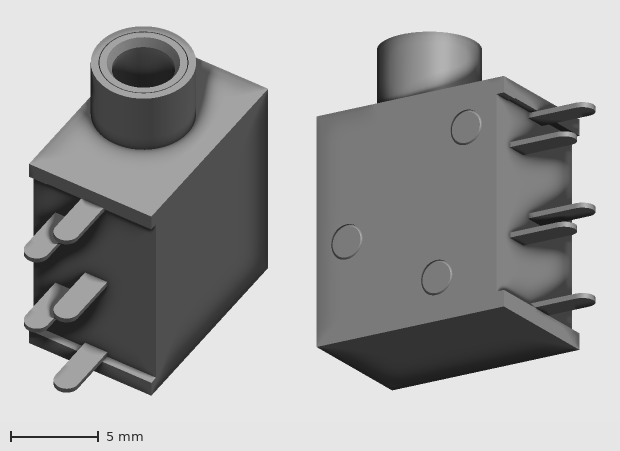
import cadquery as cq


TOTAL_HEIGHT = 18.0
OVERALL_DEPTH = 15.9

WIDTH = 8.2
DEPTH = 12.5
HEIGHT = 14.0
AXIS_FROM_LEFT = 3.3
AXIS_FROM_BACK = 5.5
LEFT_X = -AXIS_FROM_LEFT
BACK_Y = AXIS_FROM_BACK
FRONT_Y = BACK_Y - DEPTH

LEDGE_THICKNESS = 1.0
RECESS_DEPTH = 0.5
RECESS_Y = FRONT_Y + RECESS_DEPTH

RELIEF_WIDTH = 3.8
RELIEF_HEIGHT = 0.05
RELIEF_FROM_LEFT = 1.19

BARREL_DIAMETER = 6.0
BARREL_RADIUS = BARREL_DIAMETER / 2
BARREL_LENGTH = TOTAL_HEIGHT - HEIGHT
SLEEVE_RADIUS = 2.5
SLEEVE_GAP = 0.05
SOCKET_RADIUS = SLEEVE_RADIUS + SLEEVE_GAP
SLEEVE_BORE_RADIUS = 1.8
LEAD_IN_RADIUS = 2.09
LEAD_IN_DEPTH = 0.5

MARK_OUTER_RADIUS = 1.06
MARK_INNER_RADIUS = 0.94
MARK_GROOVE_DEPTH = 0.1
MARKS = [(9.95, 11.38), (2.0, 6.0), (8.0, 2.65)]

PIN_WIDTH = 1.5
PIN_THICKNESS = 0.3
PIN_LENGTH = OVERALL_DEPTH - DEPTH + RECESS_DEPTH
PIN_SPACING = 2.0
PIN_FROM_LEFT = 2.2
PIN_LEFT_X = LEFT_X + PIN_FROM_LEFT
PIN_RIGHT_X = PIN_LEFT_X + PIN_SPACING
PINS = [
    (PIN_RIGHT_X, 1.2),
    (PIN_LEFT_X, 3.62),
    (PIN_RIGHT_X, 7.3),
    (PIN_LEFT_X, 9.1),
    (PIN_RIGHT_X, 12.8),
]


def corner_box(width, depth, height, corner):
    """Box whose smallest X, Y and Z lie at the given corner."""
    return cq.Workplane("XY").box(width, depth, height, centered=False).translate(corner)


def make_mark_groove(from_back, height):
    """Ring with a straight outer wall and a sloping inner wall, cut into the left face."""
    profile = [
        (MARK_INNER_RADIUS, 0),
        (MARK_OUTER_RADIUS, 0),
        (MARK_OUTER_RADIUS, MARK_GROOVE_DEPTH),
    ]
    ring = cq.Workplane("XY").polyline(profile).close().revolve(360, (0, 0), (0, 1))
    ring = ring.rotate((0, 0, 0), (0, 0, 1), -90)
    return ring.translate((LEFT_X, BACK_Y - from_back, height))


def make_housing():
    """Block with front recess, side marks and a barrel that has a blind socket for the sleeve."""
    block = corner_box(WIDTH, DEPTH, HEIGHT, (LEFT_X, FRONT_Y, 0))

    recess_height = HEIGHT - 2 * LEDGE_THICKNESS
    recess = corner_box(WIDTH, RECESS_DEPTH, recess_height, (LEFT_X, FRONT_Y, LEDGE_THICKNESS))
    relief_corner = (LEFT_X + RELIEF_FROM_LEFT, FRONT_Y, HEIGHT - LEDGE_THICKNESS)
    relief = corner_box(RELIEF_WIDTH, RECESS_DEPTH, RELIEF_HEIGHT, relief_corner)
    block = block.cut(recess).cut(relief)

    for from_back, height in MARKS:
        block = block.cut(make_mark_groove(from_back, height))

    barrel = (
        cq.Workplane("XY", origin=(0, 0, HEIGHT))
        .circle(BARREL_RADIUS)
        .circle(SOCKET_RADIUS)
        .extrude(BARREL_LENGTH)
    )
    return block.union(barrel)


def make_sleeve():
    """Tube standing on the socket floor, with a conical lead-in at its mouth."""
    profile = [
        (SLEEVE_BORE_RADIUS, HEIGHT),
        (SLEEVE_RADIUS, HEIGHT),
        (SLEEVE_RADIUS, TOTAL_HEIGHT),
        (LEAD_IN_RADIUS, TOTAL_HEIGHT),
        (SLEEVE_BORE_RADIUS, TOTAL_HEIGHT - LEAD_IN_DEPTH),
    ]
    return cq.Workplane("XZ").polyline(profile).close().revolve(360, (0, 0), (0, 1))


def make_pin(center_x, below_top):
    """Flat pin that butts against the recessed front face and ends in a half circle."""
    half_width = PIN_WIDTH / 2
    tip_y = RECESS_Y - PIN_LENGTH
    bottom_z = HEIGHT - below_top - PIN_THICKNESS / 2
    return (
        cq.Workplane("XY", origin=(center_x, 0, bottom_z))
        .moveTo(-half_width, RECESS_Y)
        .lineTo(-half_width, tip_y + half_width)
        .threePointArc((0, tip_y), (half_width, tip_y + half_width))
        .lineTo(half_width, RECESS_Y)
        .close()
        .extrude(PIN_THICKNESS)
    )


housing = make_housing()
sleeve = make_sleeve()
pins = [make_pin(center_x, below_top) for center_x, below_top in PINS]

result = cq.Compound.makeCompound([housing.val(), sleeve.val(), *[pin.val() for pin in pins]])